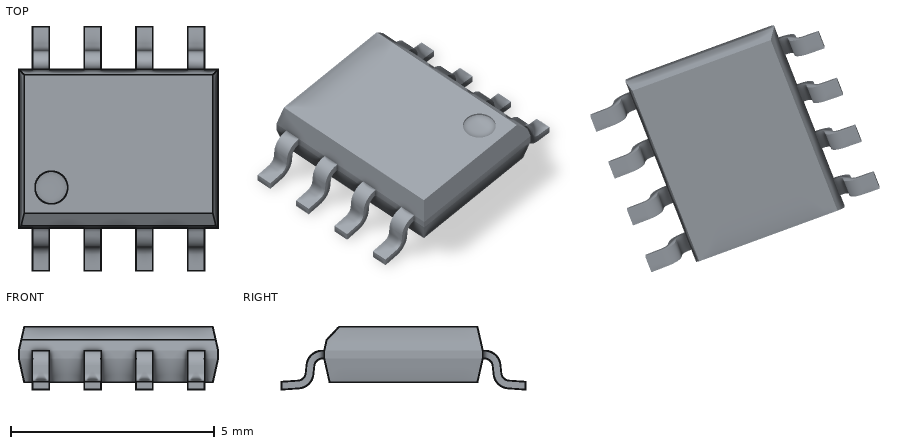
import cadquery as cq
import math

body_length = 4.9
body_width = 3.9
overall_height = 1.55
standoff = 0.18
band_height = 0.2
taper_inset = 0.13
half_height = (overall_height - standoff - band_height) / 2
band_bottom = standoff + half_height
band_top = band_bottom + band_height

bevel_inset = 0.365
bevel_drop = 0.325
bevel_slope = (bevel_inset - taper_inset * (1 - bevel_drop / half_height)) / bevel_drop

mark_diameter = 0.805
mark_x = -1.65
mark_y = -0.955
mark_depth = 0.05

lead_span = 6.0
lead_thickness = band_height
lead_width = 0.42
lead_pitch = 1.27
leads_per_side = 4
lead_embed = 0.12
shoulder_length = 0.04
inner_radius = 0.2
outer_radius = inner_radius + lead_thickness
leg_angle = math.radians(6)
foot_angle = math.radians(4)


def tapered_half(start_z, direction):
    """Half of the body, narrowing from the band toward the top (1) or bottom (-1)."""
    return (
        cq.Workplane("XY", origin=(0, 0, start_z))
        .rect(body_length, body_width)
        .workplane(offset=direction * half_height)
        .rect(body_length - 2 * taper_inset, body_width - 2 * taper_inset)
        .loft()
    )


def make_body():
    band = cq.Workplane("XY", origin=(0, 0, band_bottom)).rect(body_length, body_width).extrude(band_height)
    return band.union(tapered_half(band_top, 1)).union(tapered_half(band_bottom, -1))


def bevel_cutter():
    """Wedge outside the bevel plane, running the whole length of the body."""
    front = -body_width / 2
    top_edge = front + bevel_inset
    return (
        cq.Workplane("YZ", origin=(-body_length / 2, 0, 0))
        .moveTo(top_edge, overall_height)
        .lineTo(front, overall_height)
        .lineTo(front, overall_height - bevel_inset / bevel_slope)
        .close()
        .extrude(body_length)
    )


def mark_cutter():
    return (
        cq.Workplane("XY", origin=(mark_x, mark_y, overall_height - mark_depth))
        .circle(mark_diameter / 2)
        .extrude(mark_depth)
    )


def on_circle(center, radius, angle):
    return (center[0] + radius * math.cos(angle), center[1] + radius * math.sin(angle))


def lead_profile():
    """Closed side outline, in Y and Z, of a lead on the +Y side."""
    root_y = body_width / 2 - lead_embed
    tip_y = lead_span / 2
    tip_height = lead_thickness / math.cos(foot_angle)

    upper_center = (body_width / 2 + shoulder_length, band_top - outer_radius)
    upper_start = math.pi / 2
    upper_end = leg_angle
    upper_mid = (upper_start + upper_end) / 2

    center_gap = outer_radius + inner_radius
    lower_start = math.pi + leg_angle
    lower_end = 1.5 * math.pi - foot_angle
    lower_mid = (lower_start + lower_end) / 2
    foot_rise = math.tan(foot_angle)
    drop_without_leg = (
        upper_center[1] + center_gap * math.sin(leg_angle)
        - outer_radius / math.cos(foot_angle)
        - foot_rise * (tip_y - upper_center[0] - center_gap * math.cos(leg_angle))
    )
    leg_length = drop_without_leg / (math.cos(leg_angle) - foot_rise * math.sin(leg_angle))
    lower_center = (
        upper_center[0] + center_gap * math.cos(leg_angle) + leg_length * math.sin(leg_angle),
        upper_center[1] + center_gap * math.sin(leg_angle) - leg_length * math.cos(leg_angle),
    )

    return (
        cq.Workplane("YZ")
        .moveTo(root_y, band_top)
        .lineTo(*on_circle(upper_center, outer_radius, upper_start))
        .threePointArc(
            on_circle(upper_center, outer_radius, upper_mid),
            on_circle(upper_center, outer_radius, upper_end),
        )
        .lineTo(*on_circle(lower_center, inner_radius, lower_start))
        .threePointArc(
            on_circle(lower_center, inner_radius, lower_mid),
            on_circle(lower_center, inner_radius, lower_end),
        )
        .lineTo(tip_y, tip_height)
        .lineTo(tip_y, 0)
        .lineTo(*on_circle(lower_center, outer_radius, lower_end))
        .threePointArc(
            on_circle(lower_center, outer_radius, lower_mid),
            on_circle(lower_center, outer_radius, lower_start),
        )
        .lineTo(*on_circle(upper_center, inner_radius, upper_end))
        .threePointArc(
            on_circle(upper_center, inner_radius, upper_mid),
            on_circle(upper_center, inner_radius, upper_start),
        )
        .lineTo(root_y, band_bottom)
        .close()
    )


back_lead = lead_profile().extrude(lead_width / 2, both=True)
front_lead = back_lead.mirror("XZ")

result = make_body().cut(bevel_cutter()).cut(mark_cutter())
for index in range(leads_per_side):
    lead_x = (index - (leads_per_side - 1) / 2) * lead_pitch
    result = result.union(back_lead.translate((lead_x, 0, 0)))
    result = result.union(front_lead.translate((lead_x, 0, 0)))